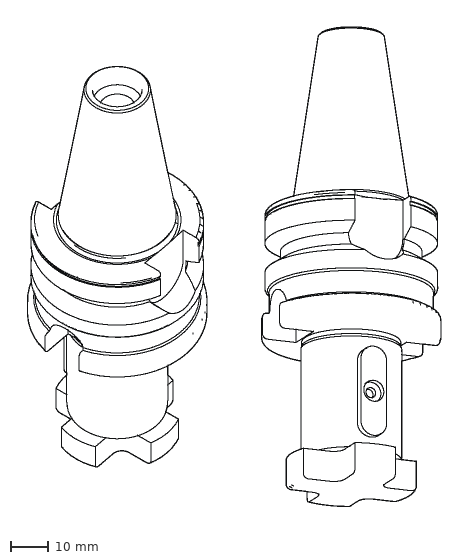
import cadquery as cq
import math

TOTAL_HEIGHT = 126.4
TAPER_BASE_Z = 79.1
FLANGE_TOP_Z = 77.2
LIP_GROOVE_TOP_Z = 75.6
LIP_GROOVE_BOTTOM_Z = 74.6
V_GROOVE_TOP_Z = 68.5
V_GROOVE_NECK_TOP_Z = 66.2
V_GROOVE_NECK_BOTTOM_Z = 63.1
V_GROOVE_BOTTOM_Z = 60.4
FLANGE_BOTTOM_Z = 55.5
DRIVE_RING_TOP_Z = 48.3
DRIVE_RING_BOTTOM_Z = 41.1
SHANK_TOP_Z = 39.0
FOOT_TOP_Z = 8.3

TAPER_BASE_RADIUS = 15.8
TAPER_NECK_RADIUS = 15.4
FLANGE_RADIUS = 23.1
LIP_GROOVE_DEPTH = 0.4
V_GROOVE_RADIUS = 19.0
BODY_RADIUS = 22.0
DRIVE_RING_RADIUS = 24.0
SHANK_RADIUS = 13.5
SHANK_NECK_RADIUS = 13.3
SHANK_FOOT_RADIUS = 13.4
FOOT_RADIUS = 17.5

TAPER_SLOPE = 7 / 24 / 2
TAPER_TOP_RADIUS = TAPER_BASE_RADIUS - (TOTAL_HEIGHT - TAPER_BASE_Z) * TAPER_SLOPE
TAPER_TOP_CHAMFER = 0.5

BODY_CORNER_WIDTH = 0.4
BODY_CORNER_HEIGHT = 0.6
FLANGE_TOP_FILLET = 1.0
FLANGE_BOTTOM_FILLET = 0.6
DRIVE_RING_TOP_FILLET = 1.1
DRIVE_RING_BOTTOM_FILLET = 1.4
FOOT_FILLET = 1.4
SHANK_END_TAPER_HEIGHT = 0.8
TAPER_LIP_CHAMFER = TAPER_BASE_RADIUS - TAPER_NECK_RADIUS

RELIEF_RADIUS = 0.9
RELIEF_DEPTH = 0.3
RELIEF_WIDTH = 1.6

SOCKET_RADIUS = 6.6
SOCKET_DEPTH = 5.0
SOCKET_RIM_FILLET = 0.8
SOCKET_STEP_RADIUS = 5.3
SOCKET_STEP_DEPTH = 6.3
SOCKET_FLOOR_RADIUS = 4.7
SOCKET_FLOOR_DEPTH = 6.7

KEYWAY_WIDTH = 16.2
KEYWAY_LENGTH = 19.0
KEYWAY_FLOOR = 16.2

DRIVE_SLOT_WIDTH = 11.8
DRIVE_SLOT_TOP_Z = 53.2
DRIVE_SLOT_FLOOR = SHANK_RADIUS

FOOT_ARM_WIDTH = DRIVE_SLOT_WIDTH
FOOT_CORNER_RADIUS = 3.0

KEY_WIDTH = 7.5
KEY_LENGTH = 24.8
KEY_CENTER_Z = 23.6
KEY_FACE = 15.4
KEY_COUNTERBORE_RADIUS = 2.9
KEY_COUNTERBORE_DEPTH = 2.0
KEY_HOLE_RADIUS = 1.4
KEY_HOLE_DEPTH = 3.8

CUT_REACH = 2 * DRIVE_RING_RADIUS


def arc_middle(center_r, center_z, radius, angle):
    """Middle point of a corner arc in the radius-height plane."""
    turn = math.radians(angle)
    return (center_r + radius * math.cos(turn), center_z + radius * math.sin(turn))


def revolve(profile):
    """Close an outline and turn it around the Z axis."""
    return profile.close().revolve(360, (0, 0, 0), (0, 1, 0))


def add_upper_relief(outline, radius, face_z):
    """Continue an outline from an upward shoulder, through its relief, to a diameter."""
    arc_r = radius + RELIEF_RADIUS
    arc_z = face_z + RELIEF_RADIUS - RELIEF_DEPTH
    return (
        outline.lineTo(radius + RELIEF_WIDTH, face_z)
        .lineTo(arc_r, face_z - RELIEF_DEPTH)
        .threePointArc(arc_middle(arc_r, arc_z, RELIEF_RADIUS, -135), (radius, arc_z))
    )


def add_bottom_edge(outline, radius, face_z, fillet):
    """Continue an outline along a bottom face and round it up into a rim."""
    arc_r = radius - fillet
    arc_z = face_z + fillet
    middle = arc_middle(arc_r, arc_z, fillet, -45)
    return outline.lineTo(arc_r, face_z).threePointArc(middle, (radius, arc_z))


def add_top_edge(outline, radius, face_z, fillet):
    """Continue an outline up a rim and round it over into a top face."""
    arc_r = radius - fillet
    arc_z = face_z - fillet
    middle = arc_middle(arc_r, arc_z, fillet, 45)
    return outline.lineTo(radius, arc_z).threePointArc(middle, (arc_r, face_z))


def make_turned_body():
    """Drive ring, body, gripper flange and taper, outlined from the bottom up."""
    lip_groove_radius = FLANGE_RADIUS - LIP_GROOVE_DEPTH
    outline = cq.Workplane("XZ").moveTo(0, DRIVE_RING_BOTTOM_Z)

    outline = add_bottom_edge(outline, DRIVE_RING_RADIUS, DRIVE_RING_BOTTOM_Z, DRIVE_RING_BOTTOM_FILLET)
    outline = add_top_edge(outline, DRIVE_RING_RADIUS, DRIVE_RING_TOP_Z, DRIVE_RING_TOP_FILLET)
    outline = outline.lineTo(BODY_RADIUS + BODY_CORNER_WIDTH, DRIVE_RING_TOP_Z)
    outline = outline.lineTo(BODY_RADIUS, DRIVE_RING_TOP_Z + BODY_CORNER_HEIGHT)

    outline = outline.lineTo(BODY_RADIUS, FLANGE_BOTTOM_Z - BODY_CORNER_HEIGHT)
    outline = outline.lineTo(BODY_RADIUS + BODY_CORNER_WIDTH, FLANGE_BOTTOM_Z)
    outline = add_bottom_edge(outline, FLANGE_RADIUS, FLANGE_BOTTOM_Z, FLANGE_BOTTOM_FILLET)
    outline = (
        outline.lineTo(FLANGE_RADIUS, V_GROOVE_BOTTOM_Z)
        .lineTo(V_GROOVE_RADIUS, V_GROOVE_NECK_BOTTOM_Z)
        .lineTo(V_GROOVE_RADIUS, V_GROOVE_NECK_TOP_Z)
        .lineTo(FLANGE_RADIUS, V_GROOVE_TOP_Z)
        .lineTo(FLANGE_RADIUS, LIP_GROOVE_BOTTOM_Z)
        .lineTo(lip_groove_radius, LIP_GROOVE_BOTTOM_Z)
        .lineTo(lip_groove_radius, LIP_GROOVE_TOP_Z)
        .lineTo(FLANGE_RADIUS, LIP_GROOVE_TOP_Z)
    )
    outline = add_top_edge(outline, FLANGE_RADIUS, FLANGE_TOP_Z, FLANGE_TOP_FILLET)
    outline = add_upper_relief(outline, TAPER_NECK_RADIUS, FLANGE_TOP_Z)

    outline = (
        outline.lineTo(TAPER_NECK_RADIUS, TAPER_BASE_Z - TAPER_LIP_CHAMFER)
        .lineTo(TAPER_BASE_RADIUS, TAPER_BASE_Z)
        .lineTo(TAPER_TOP_RADIUS, TOTAL_HEIGHT - TAPER_TOP_CHAMFER)
        .lineTo(TAPER_TOP_RADIUS - TAPER_TOP_CHAMFER, TOTAL_HEIGHT)
        .lineTo(0, TOTAL_HEIGHT)
    )
    return revolve(outline)


def make_shank():
    """Pilot shank, necked down slightly at both ends."""
    profile = (
        cq.Workplane("XZ")
        .moveTo(0, FOOT_TOP_Z)
        .lineTo(SHANK_FOOT_RADIUS, FOOT_TOP_Z)
        .lineTo(SHANK_RADIUS, FOOT_TOP_Z + SHANK_END_TAPER_HEIGHT)
        .lineTo(SHANK_RADIUS, SHANK_TOP_Z)
        .lineTo(SHANK_NECK_RADIUS, SHANK_TOP_Z + SHANK_END_TAPER_HEIGHT)
        .lineTo(SHANK_NECK_RADIUS, DRIVE_RING_BOTTOM_Z)
        .lineTo(0, DRIVE_RING_BOTTOM_Z)
    )
    return revolve(profile)


def make_foot():
    """Round foot trimmed to a cross, with rounded inner corners."""
    disc = cq.Workplane("XY").circle(FOOT_RADIUS).extrude(FOOT_TOP_Z)
    disc = disc.faces("<Z").edges().fillet(FOOT_FILLET)
    arm = cq.Workplane("XY").rect(CUT_REACH, FOOT_ARM_WIDTH).extrude(FOOT_TOP_Z)
    cross = arm.union(arm.rotate((0, 0, 0), (0, 0, 1), 90))
    corner_box = cq.selectors.BoxSelector(
        (-FOOT_ARM_WIDTH, -FOOT_ARM_WIDTH, 0),
        (FOOT_ARM_WIDTH, FOOT_ARM_WIDTH, FOOT_TOP_Z),
    )
    cross = cross.edges("|Z").edges(corner_box).fillet(FOOT_CORNER_RADIUS)
    return disc.intersect(cross)


def make_key():
    """Feather key standing out of the shank, rounded at both ends."""
    return (
        cq.Workplane("YZ")
        .center(0, KEY_CENTER_Z)
        .slot2D(KEY_LENGTH, KEY_WIDTH, 90)
        .extrude(-KEY_FACE)
    )


def key_hole(radius, depth):
    """Cutter for one step of the screw hole in the key face."""
    return (
        cq.Workplane("YZ")
        .workplane(offset=-KEY_FACE)
        .center(0, KEY_CENTER_Z)
        .circle(radius)
        .extrude(depth)
    )


def make_socket():
    """Cutter for the drawbar socket, with a rounded rim and a stepped floor."""
    rim_r = SOCKET_RADIUS + SOCKET_RIM_FILLET
    rim_z = TOTAL_HEIGHT - SOCKET_RIM_FILLET
    profile = (
        cq.Workplane("XZ")
        .moveTo(0, TOTAL_HEIGHT)
        .lineTo(rim_r, TOTAL_HEIGHT)
        .threePointArc(arc_middle(rim_r, rim_z, SOCKET_RIM_FILLET, 135), (SOCKET_RADIUS, rim_z))
        .lineTo(SOCKET_RADIUS, TOTAL_HEIGHT - SOCKET_DEPTH)
        .lineTo(SOCKET_STEP_RADIUS, TOTAL_HEIGHT - SOCKET_STEP_DEPTH)
        .lineTo(SOCKET_FLOOR_RADIUS, TOTAL_HEIGHT - SOCKET_FLOOR_DEPTH)
        .lineTo(0, TOTAL_HEIGHT - SOCKET_FLOOR_DEPTH)
    )
    return revolve(profile)


def round_ended_cutter(plane, width, open_z, end_z, floor):
    """Cutter that is open at one height and ends in a half circle at the other."""
    half = width / 2
    arc_start_z = end_z + math.copysign(half, open_z - end_z)
    return (
        cq.Workplane(plane)
        .workplane(offset=floor)
        .moveTo(-half, open_z)
        .lineTo(-half, arc_start_z)
        .threePointArc((0, end_z), (half, arc_start_z))
        .lineTo(half, open_z)
        .close()
        .extrude(CUT_REACH)
    )


part = (
    make_turned_body()
    .union(make_shank())
    .union(make_foot())
    .union(make_key())
    .cut(make_socket())
    .cut(key_hole(KEY_COUNTERBORE_RADIUS, KEY_COUNTERBORE_DEPTH))
    .cut(key_hole(KEY_HOLE_RADIUS, KEY_HOLE_DEPTH))
)

keyway = round_ended_cutter(
    "YZ", KEYWAY_WIDTH, FLANGE_TOP_Z, FLANGE_TOP_Z - KEYWAY_LENGTH, KEYWAY_FLOOR
)
drive_slot = round_ended_cutter(
    "XZ", DRIVE_SLOT_WIDTH, DRIVE_RING_BOTTOM_Z, DRIVE_SLOT_TOP_Z, DRIVE_SLOT_FLOOR
)
for angle in (0, 180):
    part = part.cut(keyway.rotate((0, 0, 0), (0, 0, 1), angle))
    part = part.cut(drive_slot.rotate((0, 0, 0), (0, 0, 1), angle))

result = part